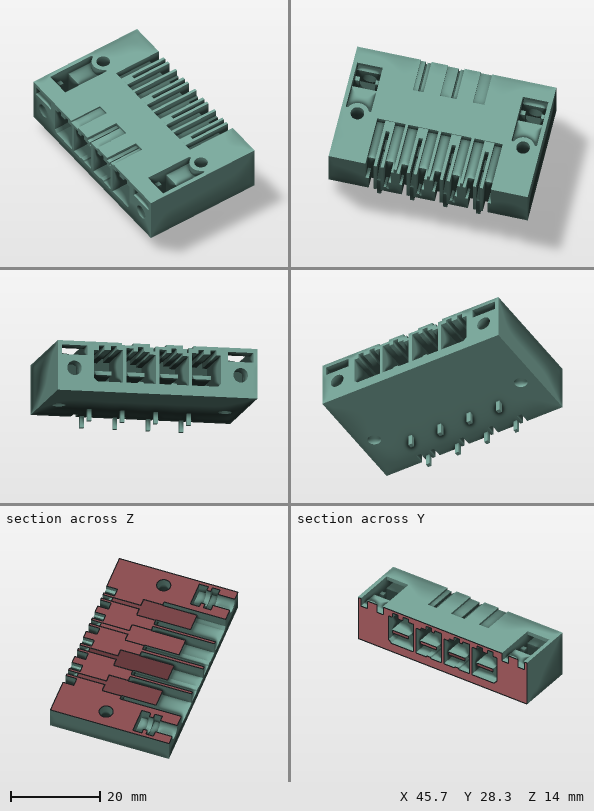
import cadquery as cq
import math


LENGTH = 45.7
DEPTH = 28.3
HEIGHT = 11.35

PITCH = 7.6
POLE_COUNT = 4
POLE_XS = [(i - (POLE_COUNT - 1) / 2) * PITCH for i in range(POLE_COUNT)]
INNER_POLE_XS = POLE_XS[1:-1]

SOCKET_DEPTH = 14.65
SOCKET_FLOOR = 2.35
KEY_TOP = 10.55
KEY_BOTTOM = 9.55
SOCKET_CHAMFER = 0.75
RAIL_HEIGHT = 0.3
RAIL_FOOT_SIDE = 0.7
RAIL_TOP_SIDE = 0.5

OUTER_SOCKET_LEFT = 3.15
OUTER_SOCKET_RIGHT = 3.47
OUTER_KEY_NEAR = 0.75
OUTER_KEY_FAR = 2.05
OUTER_LEFT_ROOF = 9.4
OUTER_RIGHT_ROOF = 9.75

INNER_SOCKET_SIDE = 3.4
INNER_KEY_SIDE = 0.65
INNER_LEFT_STEP = 1.65
INNER_RIGHT_STEP = 2.0
INNER_LEFT_ROOF = 10.2
INNER_RIGHT_ROOF = 8.95

GROOVE_LENGTH = 7.85
GROOVE_FLOOR = HEIGHT - 0.5
GROOVE_STEP = HEIGHT - 0.8
GROOVE_BOTTOM = HEIGHT - 1.6
FIRST_GROOVE_X = (-8.15, -5.55)
STEPPED_GROOVE_WIDTHS = (3.8, 2.42)
GROOVE_STEP_WIDTH = 0.85
GROOVE_SLIT_WIDTH = 0.45

RECESS_LENGTH = 11.7
RECESS_FLOOR = HEIGHT - 1.65
RECESS_END_SIDE = 3.0
RECESS_POLE_SIDE = 3.47
RIB_SIDE = 1.15
RIB_TOP = HEIGHT - 0.25

NOTCH_LENGTH = 2.55
NOTCH_POLE_SIDE = 2.85
LEDGE_SIDE = 2.3
LEDGE_Z = 4.55
BLIND_FLOOR = 1.35
COVE_RADIUS = 0.6

FLANGE_X = 19.0
MOUNT_HOLE_D = 3.05
MOUNT_HOLE_Y = DEPTH - 11.95
BOSS_RADIUS = 2.6
POCKET_WIDTH = 5.85
POCKET_FRONT = 3.95
POCKET_BACK = DEPTH - 12.95
POCKET_STEP_Y = DEPTH - 19.4
POCKET_SHELF = HEIGHT - 2.05
POCKET_FLOOR = 2.95
POCKET_CORNER_R = 0.27
WINDOW_TOP = HEIGHT - 0.95
WINDOW_BOTTOM = HEIGHT - 3.15
WINDOW_OVERRUN = 0.2
SCREW_HOLE_D = 3.3
SCREW_HOLE_Z = 5.15
SADDLE_TOP = HEIGHT - 2.95
SADDLE_D = 3.65
SADDLE_FRONT = 5.8
SADDLE_BACK = 6.85

BAR = 0.9
LEG_DEPTH = 1.0
LEG_DROP = 2.65
FRONT_LEG_BACK = DEPTH - 8.15
REAR_LEG_BACK = DEPTH - 0.45
WEB_FRONT = FRONT_LEG_BACK - LEG_DEPTH
WEB_BOTTOM = 2.75
WEB_BEVEL = 2.4
WEB_STEP_Y = DEPTH - 6.6
WEB_STEP_RISE = 0.9
BLADE_WIDTH = 4.5
BLADE_THICKNESS = 0.85
BLADE_TOP = 6.05
BLADE_TIP = 6.4


def block(x0, x1, y0, y1, z0, z1):
    """Box between the given limits."""
    return cq.Workplane("XY").box(x1 - x0, y1 - y0, z1 - z0, centered=False).translate((x0, y0, z0))


def from_front(points, length):
    """Prism with an XZ outline, running from the front face towards the back."""
    return cq.Workplane("XZ").polyline(points).close().extrude(-length)


def outer_socket():
    """Socket of the pole at the -X end: two keyways in the roof and one chamfered lower corner."""
    axis = POLE_XS[0]
    left = axis - OUTER_SOCKET_LEFT
    right = axis + OUTER_SOCKET_RIGHT
    points = [
        (left, OUTER_LEFT_ROOF),
        (axis - OUTER_KEY_FAR, OUTER_LEFT_ROOF),
        (axis - OUTER_KEY_FAR, KEY_TOP),
        (axis - OUTER_KEY_NEAR, KEY_TOP),
        (axis - OUTER_KEY_NEAR, KEY_BOTTOM),
        (axis + OUTER_KEY_NEAR, KEY_BOTTOM),
        (axis + OUTER_KEY_NEAR, KEY_TOP),
        (axis + OUTER_KEY_FAR, KEY_TOP),
        (axis + OUTER_KEY_FAR, OUTER_RIGHT_ROOF),
        (right, OUTER_RIGHT_ROOF),
        (right, SOCKET_FLOOR),
        (left + SOCKET_CHAMFER, SOCKET_FLOOR),
        (left, SOCKET_FLOOR + SOCKET_CHAMFER),
    ]
    return from_front(points, SOCKET_DEPTH)


def inner_socket(axis):
    """Socket of a middle pole, with a stepped roof and a low rail on its floor."""
    left = axis - INNER_SOCKET_SIDE
    right = axis + INNER_SOCKET_SIDE
    rail_top = SOCKET_FLOOR + RAIL_HEIGHT
    points = [
        (left, INNER_LEFT_ROOF),
        (axis - INNER_LEFT_STEP, INNER_LEFT_ROOF),
        (axis - INNER_LEFT_STEP, KEY_BOTTOM),
        (axis - INNER_KEY_SIDE, KEY_BOTTOM),
        (axis - INNER_KEY_SIDE, KEY_TOP),
        (axis + INNER_KEY_SIDE, KEY_TOP),
        (axis + INNER_KEY_SIDE, KEY_BOTTOM),
        (axis + INNER_RIGHT_STEP, KEY_BOTTOM),
        (axis + INNER_RIGHT_STEP, INNER_RIGHT_ROOF),
        (right, INNER_RIGHT_ROOF),
        (right, SOCKET_FLOOR),
        (axis + RAIL_FOOT_SIDE, SOCKET_FLOOR),
        (axis + RAIL_TOP_SIDE, rail_top),
        (axis - RAIL_TOP_SIDE, rail_top),
        (axis - RAIL_FOOT_SIDE, SOCKET_FLOOR),
        (left, SOCKET_FLOOR),
    ]
    return from_front(points, SOCKET_DEPTH)


def stepped_groove(axis, width):
    """Coding groove with a deep slit, above the lowered roof on the +X side of a middle pole."""
    left = axis + INNER_RIGHT_STEP
    right = left + width
    slit_left = left + GROOVE_STEP_WIDTH
    slit_right = slit_left + GROOVE_SLIT_WIDTH
    points = [
        (left, HEIGHT),
        (left, GROOVE_STEP),
        (slit_left, GROOVE_STEP),
        (slit_left, GROOVE_BOTTOM),
        (slit_right, GROOVE_BOTTOM),
        (slit_right, GROOVE_FLOOR),
        (right, GROOVE_FLOOR),
        (right, HEIGHT),
    ]
    return from_front(points, GROOVE_LENGTH)


def beside_pole(axis, direction, near, far, y0, z0, z1):
    """Box beside a pole on its -X or +X side (direction -1 or 1), running to the back face."""
    x0, x1 = sorted((axis + direction * near, axis + direction * far))
    return block(x0, x1, y0, DEPTH, z0, z1)


def coved_well(axis):
    """Blind lower part of a notch on the -X side of a pole; a cove leads up to a flat shelf."""
    cove_foot = axis - LEDGE_SIDE
    cove_end = cove_foot + COVE_RADIUS
    shelf = BLIND_FLOOR + COVE_RADIUS
    cove_middle = (cove_foot + COVE_RADIUS * math.sin(math.pi / 4), shelf - COVE_RADIUS * math.cos(math.pi / 4))
    outline = (
        cq.Workplane("XZ")
        .moveTo(cove_foot, LEDGE_Z)
        .lineTo(cove_foot, BLIND_FLOOR)
        .threePointArc(cove_middle, (cove_end, shelf))
        .lineTo(axis - RIB_SIDE, shelf)
        .lineTo(axis - RIB_SIDE, LEDGE_Z)
        .close()
    )
    return outline.extrude(-NOTCH_LENGTH).translate((0, DEPTH - NOTCH_LENGTH, 0))


def cut_recess(body, axis, direction):
    """Cut the channel and its notch on one side of a pole."""
    at_end = abs(axis + direction * PITCH) > max(POLE_XS)
    channel_far = RECESS_END_SIDE if at_end else RECESS_POLE_SIDE
    notch_far = RECESS_END_SIDE if at_end else NOTCH_POLE_SIDE
    notch_y = DEPTH - NOTCH_LENGTH
    channel_y = DEPTH - RECESS_LENGTH
    body = body.cut(beside_pole(axis, direction, RIB_SIDE, channel_far, channel_y, RECESS_FLOOR, HEIGHT))
    body = body.cut(beside_pole(axis, direction, RIB_SIDE, notch_far, notch_y, LEDGE_Z, RECESS_FLOOR))
    if direction < 0 and not at_end:
        return body.cut(coved_well(axis))
    return body.cut(beside_pole(axis, direction, RIB_SIDE, LEDGE_SIDE, notch_y, 0, LEDGE_Z))


def cut_rib(body, axis):
    """Lower the rib top and cut the contact slot into the rib."""
    body = body.cut(block(axis - RIB_SIDE, axis + RIB_SIDE, DEPTH - RECESS_LENGTH, DEPTH, RIB_TOP, HEIGHT))
    body = body.cut(block(axis - BAR / 2, axis + BAR / 2, WEB_FRONT, DEPTH, WEB_BOTTOM, HEIGHT))
    return body.cut(block(axis - BAR / 2, axis + BAR / 2, REAR_LEG_BACK - LEG_DEPTH, DEPTH, 0, WEB_BOTTOM))


def cut_flange(body, x):
    """Cut one flange: mounting hole, pocket with a U-shaped screw saddle, front window and screw hole."""
    left = x - POCKET_WIDTH / 2
    right = x + POCKET_WIDTH / 2
    mount_hole = cq.Workplane("XY").center(x, MOUNT_HOLE_Y).circle(MOUNT_HOLE_D / 2).extrude(HEIGHT)
    boss = cq.Workplane("XY").center(x, MOUNT_HOLE_Y).circle(BOSS_RADIUS).extrude(HEIGHT)

    shelf = block(left, right, POCKET_FRONT, POCKET_BACK, POCKET_SHELF, HEIGHT).cut(boss)
    shelf = shelf.edges("|Z and >Y").fillet(POCKET_CORNER_R)
    window_end = POCKET_FRONT + WINDOW_OVERRUN
    window = block(left, right, 0, window_end, WINDOW_BOTTOM, WINDOW_TOP)
    screw_hole = cq.Workplane("XZ").center(x, SCREW_HOLE_Z).circle(SCREW_HOLE_D / 2).extrude(-SADDLE_FRONT)

    saddle = block(left, right, SADDLE_FRONT, SADDLE_BACK, POCKET_FLOOR, SADDLE_TOP)
    saddle_root = cq.Workplane("XZ").center(x, SCREW_HOLE_Z).circle(SADDLE_D / 2).extrude(-SADDLE_BACK)
    half_u = SADDLE_D / 2
    saddle_sides = block(x - half_u, x + half_u, SADDLE_FRONT, SADDLE_BACK, SCREW_HOLE_Z, SADDLE_TOP)
    saddle = saddle.cut(saddle_root).cut(saddle_sides)
    well = block(left, right, window_end, POCKET_STEP_Y, POCKET_FLOOR, POCKET_SHELF).cut(saddle)

    for cutter in (mount_hole, shelf, well, window, screw_hole):
        body = body.cut(cutter)
    return body


def make_contact(axis):
    """Contact: flat blade in the socket, upright web behind it and two legs through the underside."""
    side = (
        cq.Workplane("YZ")
        .polyline([
            (WEB_FRONT, -LEG_DROP), (FRONT_LEG_BACK, -LEG_DROP), (FRONT_LEG_BACK, WEB_BOTTOM),
            (REAR_LEG_BACK - LEG_DEPTH, WEB_BOTTOM), (REAR_LEG_BACK - LEG_DEPTH, -LEG_DROP),
            (REAR_LEG_BACK, -LEG_DROP), (REAR_LEG_BACK, BLADE_TOP - WEB_BEVEL),
            (REAR_LEG_BACK - WEB_BEVEL, BLADE_TOP), (WEB_STEP_Y, BLADE_TOP),
            (WEB_STEP_Y, BLADE_TOP + WEB_STEP_RISE), (WEB_FRONT, BLADE_TOP + WEB_STEP_RISE),
        ])
        .close()
        .extrude(BAR)
        .translate((axis - BAR / 2, 0, 0))
    )
    half_width = BLADE_WIDTH / 2
    blade_bottom = BLADE_TOP - BLADE_THICKNESS
    blade = block(axis - half_width, axis + half_width, BLADE_TIP, WEB_FRONT, blade_bottom, BLADE_TOP)
    return side.union(blade)


def make_housing(contacts):
    """Housing block with all of its openings, and a matching hole for every contact."""
    body = block(-LENGTH / 2, LENGTH / 2, 0, DEPTH, 0, HEIGHT)

    end_socket = outer_socket()
    body = body.cut(end_socket).cut(end_socket.mirror("YZ"))
    for axis in INNER_POLE_XS:
        body = body.cut(inner_socket(axis))

    body = body.cut(block(*FIRST_GROOVE_X, 0, GROOVE_LENGTH, GROOVE_FLOOR, HEIGHT))
    for axis, width in zip(INNER_POLE_XS, STEPPED_GROOVE_WIDTHS):
        body = body.cut(stepped_groove(axis, width))

    for axis in POLE_XS:
        body = cut_rib(body, axis)
        for direction in (-1, 1):
            body = cut_recess(body, axis, direction)

    for x in (-FLANGE_X, FLANGE_X):
        body = cut_flange(body, x)
    for contact in contacts:
        body = body.cut(contact)
    return body


contacts = [make_contact(axis) for axis in POLE_XS]
housing = make_housing(contacts)
result = cq.Compound.makeCompound([housing.val(), *[contact.val() for contact in contacts]])